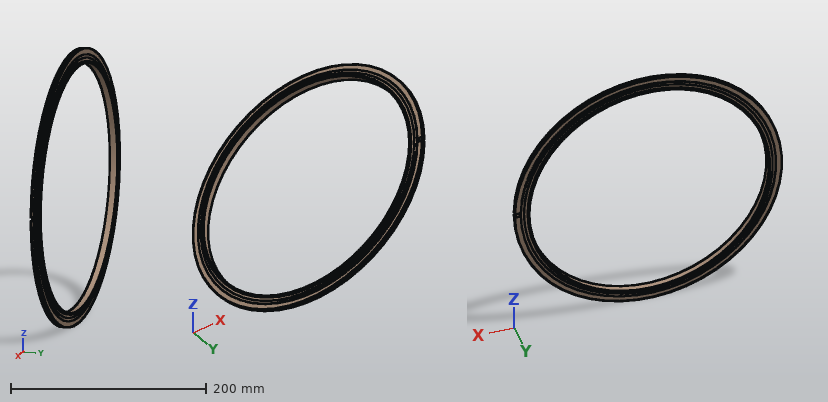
import cadquery as cq


outer_radius = 143.5
bore_radius = 257.2 / 2
sleeve_outer_radius = 260.3 / 2
sleeve_half_width = 4.0
flange_half_thickness = 2.3

rim_groove_half_width = 1.1
rim_groove_depth = 1.5

seal_inner_radius = 133.7
seal_outer_radius = 137.2
seal_embedded_depth = 1.1
seal_dome_height = 0.5
seal_seat_height = flange_half_thickness - seal_embedded_depth

slot_width = 4.0
slot_floor_radius = 138.0


def revolve_profile(profile):
    """Turn a closed radius/height profile once around the Y axis."""
    return profile.close().revolve(360, (0, 0, 0), (0, 1, 0))


def make_rim_slot():
    """Cutter for the slot, open at the rim and through the full thickness."""
    cutter_length = 2 * (outer_radius - slot_floor_radius)
    return (
        cq.Workplane("XY")
        .box(cutter_length, 2 * sleeve_half_width, slot_width)
        .translate((slot_floor_radius + cutter_length / 2, 0, 0))
    )


def make_seal_recess(side):
    """Cutter for the square-bottomed seat of one seal; side is -1 or 1 along Y."""
    seat = side * seal_seat_height
    face = side * flange_half_thickness
    profile = (
        cq.Workplane("XY")
        .moveTo(seal_inner_radius, seat)
        .lineTo(seal_outer_radius, seat)
        .lineTo(seal_outer_radius, face)
        .lineTo(seal_inner_radius, face)
    )
    return revolve_profile(profile)


def make_carrier_ring():
    """Flanged ring with a grooved rim, two seal recesses and a rim slot."""
    profile = (
        cq.Workplane("XY")
        .moveTo(bore_radius, -sleeve_half_width)
        .lineTo(sleeve_outer_radius, -sleeve_half_width)
        .lineTo(sleeve_outer_radius, -flange_half_thickness)
        .lineTo(outer_radius, -flange_half_thickness)
        .lineTo(outer_radius, -rim_groove_half_width)
        .threePointArc((outer_radius - rim_groove_depth, 0), (outer_radius, rim_groove_half_width))
        .lineTo(outer_radius, flange_half_thickness)
        .lineTo(sleeve_outer_radius, flange_half_thickness)
        .lineTo(sleeve_outer_radius, sleeve_half_width)
        .lineTo(bore_radius, sleeve_half_width)
    )
    carrier = revolve_profile(profile).cut(make_rim_slot())
    for side in (-1, 1):
        carrier = carrier.cut(make_seal_recess(side))
    return carrier


def make_seal_ring(side):
    """Seal ring with a domed outer face; side is -1 or 1 along Y."""
    seat = side * seal_seat_height
    face = side * flange_half_thickness
    crest = face + side * seal_dome_height
    middle_radius = (seal_inner_radius + seal_outer_radius) / 2
    profile = (
        cq.Workplane("XY")
        .moveTo(seal_inner_radius, seat)
        .lineTo(seal_outer_radius, seat)
        .lineTo(seal_outer_radius, face)
        .threePointArc((middle_radius, crest), (seal_inner_radius, face))
    )
    return revolve_profile(profile)


carrier_ring = make_carrier_ring().solids()
seal_rings = [make_seal_ring(side) for side in (-1, 1)]

result = cq.Compound.makeCompound([carrier_ring.val(), *[seal.val() for seal in seal_rings]])